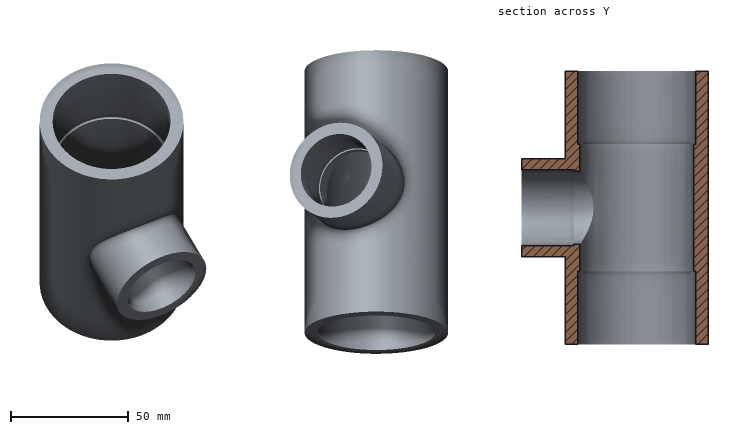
import cadquery as cq

run_length = 116.0
run_diameter = 61.0
run_socket_diameter = 50.0
run_bore_diameter = 48.0
run_socket_depth = 31.0

branch_reach = 49.0
branch_diameter = 42.0
branch_socket_diameter = 32.0
branch_bore_diameter = 31.0
branch_socket_depth = 22.0


def run_cylinder(diameter, bottom, length):
    """Cylinder on the main pipe axis, starting at height bottom."""
    return cq.Workplane("XY", origin=(0, 0, bottom)).circle(diameter / 2).extrude(length)


def branch_cylinder(diameter, start, length):
    """Cylinder on the branch axis, starting at distance start from the pipe axis."""
    return cq.Workplane("YZ", origin=(start, 0, 0)).circle(diameter / 2).extrude(length)


run_bottom = -run_length / 2
run_top = run_length / 2
body = run_cylinder(run_diameter, run_bottom, run_length)
body = body.union(branch_cylinder(branch_diameter, 0, branch_reach))

body = body.cut(run_cylinder(run_bore_diameter, run_bottom, run_length))
for socket_bottom in (run_bottom, run_top - run_socket_depth):
    body = body.cut(run_cylinder(run_socket_diameter, socket_bottom, run_socket_depth))

body = body.cut(branch_cylinder(branch_bore_diameter, 0, branch_reach))
branch_socket_start = branch_reach - branch_socket_depth
body = body.cut(branch_cylinder(branch_socket_diameter, branch_socket_start, branch_socket_depth))

result = body